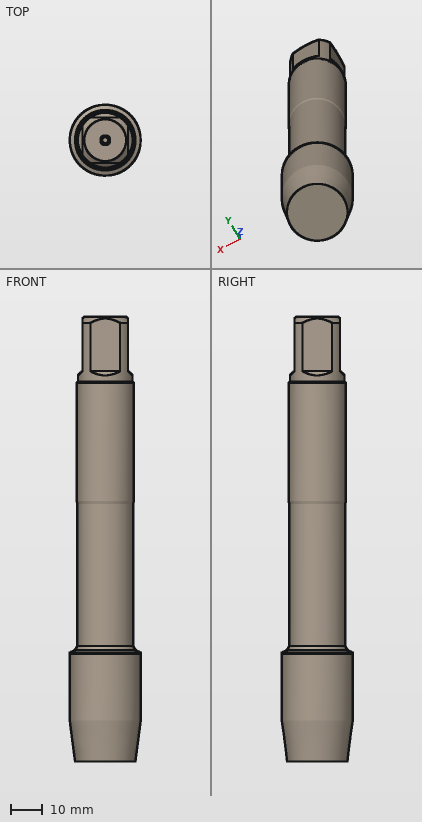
import cadquery as cq

length = 140.0

head_diameter = 22.4
head_height = 33.9
tip_diameter = 19.0
taper_height = 12.9

collar_rim_top = 34.3
shoulder_top = 35.1
shoulder_diameter = 19.0
neck_diameter = 17.6
flare_top = 36.4
grip_diameter = 18.0
grip_bottom = 81.0
grip_bottom_chamfer = 0.8
grip_top = 119.5
grip_top_chamfer = 0.4
drive_diameter = 17.2
drive_top_diameter = 13.2
drive_chamfer_height = 2.0

across_flats = 14.4
flats_bottom = 122.9
cutter_size = 2 * drive_diameter

hole_diameter = 2.0
hole_depth = 3.5
countersink_diameter = 3.1
countersink_depth = 1.7


def revolved(profile):
    """Turn (diameter, z) points about the Z axis, closing the profile on that axis."""
    points = [(0, profile[0][1])]
    points += [(diameter / 2, z) for diameter, z in profile]
    points.append((0, profile[-1][1]))
    return cq.Workplane("XZ").polyline(points).close().revolve(360, (0, 0), (0, 1))


def make_head():
    return revolved([
        (tip_diameter, 0),
        (head_diameter, taper_height),
        (head_diameter, head_height),
    ])


def make_turned_shank():
    return revolved([
        (head_diameter, head_height),
        (head_diameter, collar_rim_top),
        (shoulder_diameter, shoulder_top),
        (neck_diameter, flare_top),
        (neck_diameter, grip_bottom),
        (grip_diameter, grip_bottom + grip_bottom_chamfer),
        (grip_diameter, grip_top - grip_top_chamfer),
        (drive_diameter, grip_top),
        (drive_diameter, length - drive_chamfer_height),
        (drive_top_diameter, length),
    ])


def make_flat_cutter():
    """Cutter for the +X flat, with a floor sloping down and outward at 45 degrees."""
    inner_x = across_flats / 2
    outer_x = inner_x + cutter_size
    points = [
        (inner_x, flats_bottom),
        (outer_x, flats_bottom - cutter_size),
        (outer_x, length),
        (inner_x, length),
    ]
    reach = revolved([(drive_diameter, grip_top), (drive_diameter, length)])
    return cq.Workplane("XZ").polyline(points).close().extrude(cutter_size / 2, both=True).intersect(reach)


def make_centre_hole():
    return revolved([
        (hole_diameter, length - hole_depth),
        (hole_diameter, length - countersink_depth),
        (countersink_diameter, length),
    ])


def make_shank():
    shank = make_turned_shank()
    for angle in range(0, 360, 90):
        shank = shank.cut(make_flat_cutter().rotate((0, 0, 0), (0, 0, 1), angle))
    return shank.cut(make_centre_hole())


head = make_head()
shank = make_shank()
result = cq.Compound.makeCompound([head.val(), shank.val()])